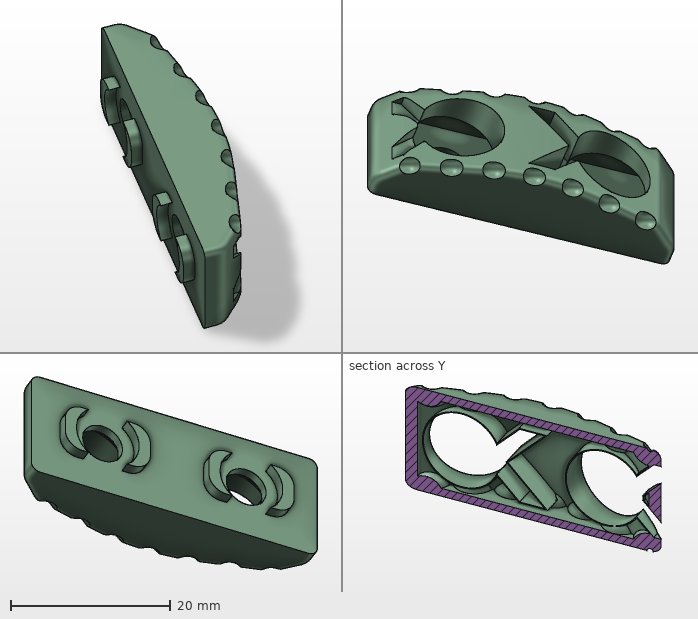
import cadquery as cq
import math

LENGTH = 39.88
HEIGHT = 15.25
DEPTH = 9.1
EDGE_RADIUS = 1.25

FLANK_ANGLE = math.radians(14.0)
FLANK_APEX = 10.1
SHOULDER_TOE = 2.55
TOE_RADIUS = 2.5
SHOULDER_RADIUS = 2.0

HOLE_SPACING = 20.0
HOLE_DIAMETER = 5.55
COUNTERBORE_DIAMETER = 10.7
COUNTERBORE_START_Y = 4.2
LUG_LENGTH = 11.85
LUG_HEIGHT = 6.85
LUG_DEPTH = 1.5
LUG_CORNER_RADIUS = 2.4
LUG_CLEARANCE_DIAMETER = 8.75

WALL = 1.25
LINING = 0.2

CHEVRON_TIP_XS = (-7.2, 11.55)
CHEVRON_WIDTH = 3.43
CHEVRON_ARM_REACH = 5.35

DIMPLE_COUNT = 7
DIMPLE_PITCH = 5.22
DIMPLE_FIRST_X = -14.95
DIMPLE_RADIUS = 1.5
DIMPLE_WALL = 1.5

HALF_LENGTH = LENGTH / 2
HALF_HEIGHT = HEIGHT / 2
HOLE_XS = (-HOLE_SPACING / 2, HOLE_SPACING / 2)
DIMPLE_XS = [DIMPLE_FIRST_X + index * DIMPLE_PITCH for index in range(DIMPLE_COUNT)]
SELECT_MARGIN = 0.05

FLANK_SLOPE = math.tan(FLANK_ANGLE)
CROWN_RADIUS = (FLANK_APEX - DEPTH) / (1 / math.cos(FLANK_ANGLE) - 1)
CROWN_HALF_WIDTH = CROWN_RADIUS * math.sin(FLANK_ANGLE)
SHOULDER_X = (HALF_LENGTH + SHOULDER_TOE - FLANK_APEX) / (1 - FLANK_SLOPE)


def back_y(x):
    """Y of the back outline at x, before its corners are rounded."""
    x = abs(x)
    if x < CROWN_HALF_WIDTH:
        return DEPTH - CROWN_RADIUS + math.sqrt(CROWN_RADIUS**2 - x**2)
    return min(FLANK_APEX - x * FLANK_SLOPE, HALF_LENGTH + SHOULDER_TOE - x)


def rounded_block():
    """Prism of the outline with its upright back edges rounded."""
    crown_y = back_y(CROWN_HALF_WIDTH)
    shoulder_y = back_y(SHOULDER_X)
    block = (
        cq.Workplane("XY")
        .moveTo(-HALF_LENGTH, 0)
        .lineTo(HALF_LENGTH, 0)
        .lineTo(HALF_LENGTH, SHOULDER_TOE)
        .lineTo(SHOULDER_X, shoulder_y)
        .lineTo(CROWN_HALF_WIDTH, crown_y)
        .threePointArc((0, DEPTH), (-CROWN_HALF_WIDTH, crown_y))
        .lineTo(-SHOULDER_X, shoulder_y)
        .lineTo(-HALF_LENGTH, SHOULDER_TOE)
        .close()
        .extrude(HALF_HEIGHT, both=True)
    )

    def upright_edges(x, y):
        """Upright edges at -x and x, at depth y."""
        return cq.selectors.BoxSelector(
            (-x - SELECT_MARGIN, y - SELECT_MARGIN, -HEIGHT),
            (x + SELECT_MARGIN, y + SELECT_MARGIN, HEIGHT),
        )

    block = block.edges("|Z").edges(upright_edges(HALF_LENGTH, SHOULDER_TOE)).fillet(TOE_RADIUS)
    block = block.edges("|Z").edges(upright_edges(SHOULDER_X, shoulder_y)).fillet(SHOULDER_RADIUS)
    return block


def body():
    """Block with the edges of both long faces rounded, except along the flat front."""
    block = rounded_block()
    behind_front = cq.selectors.BoxSelector(
        (-LENGTH, SELECT_MARGIN, -HEIGHT), (LENGTH, LENGTH, HEIGHT)
    )
    return block.faces("<Z or >Z").edges(behind_front).fillet(EDGE_RADIUS)


def lugs(x):
    """Pair of crescent lugs on the front face either side of a hole."""
    front = cq.Workplane("XZ").center(x, 0)
    pad = front.rect(LUG_LENGTH, LUG_HEIGHT).extrude(LUG_DEPTH)
    pad = pad.edges("|Y").fillet(LUG_CORNER_RADIUS)
    return pad.cut(front.circle(LUG_CLEARANCE_DIAMETER / 2).extrude(LUG_DEPTH))


def through_hole(x):
    return cq.Workplane("XZ").center(x, 0).circle(HOLE_DIAMETER / 2).extrude(-WALL)


def counterbore(x, margin=0.0):
    """Counterbore open to the back, grown sideways by margin."""
    front = cq.Workplane("XZ", origin=(x, COUNTERBORE_START_Y, 0))
    return front.circle(COUNTERBORE_DIAMETER / 2 + margin).extrude(-DEPTH)


def chevron(tip_x, start_y, margin=0.0):
    """Chevron prism from start_y out through the back, grown sideways by margin."""
    shift = margin * math.sqrt(2)
    near_tip = tip_x - shift
    far_tip = tip_x + CHEVRON_WIDTH + shift
    reach = CHEVRON_ARM_REACH + margin
    return (
        cq.Workplane("XZ", origin=(0, start_y, 0))
        .moveTo(near_tip, 0)
        .lineTo(near_tip + reach, reach)
        .lineTo(far_tip + reach, reach)
        .lineTo(far_tip, 0)
        .lineTo(far_tip + reach, -reach)
        .lineTo(near_tip + reach, -reach)
        .close()
        .extrude(-DEPTH)
    )


def edge_balls(x, radius):
    """Pair of balls centred on the upper and lower back edges at x."""
    ball = cq.Workplane("XY").sphere(radius)
    upper = ball.translate((x, back_y(x), HALF_HEIGHT))
    lower = ball.translate((x, back_y(x), -HALF_HEIGHT))
    return upper.union(lower)


def cavity():
    """Interior space, one wall in from the outside and clear of the recesses."""
    outline = rounded_block().faces("<Z").wires().val()
    inner_outline = outline.offset2D(-WALL)[0].translate(cq.Vector(0, 0, WALL))
    space = cq.Workplane("XY").add(inner_outline).toPending().extrude(HEIGHT - 2 * WALL)
    for x in DIMPLE_XS:
        space = space.cut(edge_balls(x, DIMPLE_RADIUS + DIMPLE_WALL))
    for x in HOLE_XS:
        space = space.cut(counterbore(x, LINING))
    for tip_x in CHEVRON_TIP_XS:
        space = space.cut(chevron(tip_x, COUNTERBORE_START_Y, LINING))
    return space


result = body().cut(cavity())
for hole_x in HOLE_XS:
    result = result.union(lugs(hole_x)).cut(through_hole(hole_x)).cut(counterbore(hole_x))
for chevron_x in CHEVRON_TIP_XS:
    result = result.cut(chevron(chevron_x, COUNTERBORE_START_Y + LINING))
for dimple_x in DIMPLE_XS:
    result = result.cut(edge_balls(dimple_x, DIMPLE_RADIUS))
result = cq.Workplane("XY").newObject([result.solids().val()])